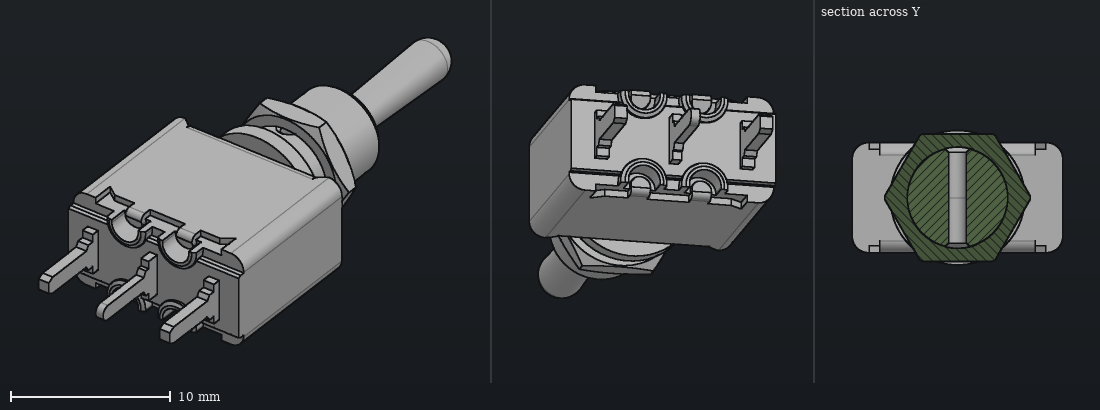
import cadquery as cq
import math


CASE_WIDTH = 13.2
COVER_HEIGHT = 6.9
COVER_LENGTH = 10.45
COVER_RADIUS = 1.02
CORE_HEIGHT = 4.73
CORE_LENGTH = 11.0
CORE_BEVEL_LENGTH = 0.22
CORE_BEVEL_HEIGHT = 0.1

PANEL_WIDTH = 9.75
PANEL_LENGTH = 9.5
PANEL_EDGE_RADIUS = 0.75
PANEL_CORNER_WIDTH = 0.8
PANEL_CORNER_LENGTH = 0.6
LEDGE_Z = 3.02

NOTCH_WIDTH = 0.65
NOTCH_LENGTH = 0.55

SOCKET_OFFSET_X = 1.95
SOCKET_CENTER_Z = 2.85
SOCKET_WALL_RADIUS = 1.5
SOCKET_BORE_RADIUS = 1.02
SOCKET_END = 11.3
SOCKET_FLOOR = 10.0
SOCKET_FLOOR_TILT = 20.0
SOCKET_BEVEL_WIDTH = 0.25
SOCKET_BEVEL_LENGTH = 0.15
TAB_RADIUS = 0.62
TAB_END = 10.45
TAB_EDGE_RADIUS = 0.45

PIN_OFFSET_X = 4.7
OUTER_PIN_THICKNESS = 0.8
CENTER_PIN_THICKNESS = 0.6
PIN_BASE_HALF = 1.5
PIN_STEP_HALF = 0.95
PIN_SLOPE_LENGTH = 0.22
OUTER_PIN_BASE_END = 11.55
OUTER_PIN_STEP_END = 12.0
OUTER_PIN_HALF = 0.62
OUTER_PIN_END = 16.23
OUTER_PIN_TIP_HALF = 0.4
OUTER_PIN_TIP_LENGTH = 0.45
CENTER_PIN_BASE_END = 11.9
CENTER_PIN_STEP_END = 12.2
CENTER_PIN_HALF = 0.55
CENTER_PIN_END = 16.75

FLANGE_RADIUS = 4.22
FLANGE_TOP = 1.1
BUSHING_RADIUS = 3.15
BUSHING_TOP = 9.1
BUSHING_CHAMFER_LENGTH = 0.45
BUSHING_CHAMFER_WIDTH = 0.33
LEVER_ROOT_RADIUS = 1.25
LEVER_TIP_RADIUS = 1.5
LEVER_TOP = 19.65
LEVER_DOME_HEIGHT = 1.45

CROSS_HOLE_Y = 3.42
CROSS_HOLE_RADIUS = 0.55
CROSS_HOLE_MOUTH_RADIUS = 0.87
CROSS_HOLE_SINK_DEPTH = 0.33

NUT_ACROSS_FLATS = 8.0
NUT_BOTTOM = 3.05
NUT_TOP = 4.62
NUT_FACE_RADIUS = 3.93
NUT_CHAMFER_ANGLE = 30.0

SIDES = (1, -1)


def end_plane(distance):
    """Sketch plane across the switch, `distance` toward the terminals; it extrudes toward -Y."""
    return cq.Workplane("XZ", origin=(0, -distance, 0))


def both_faces(shape):
    """A shape made for the +Z face, joined with its mirror image on the -Z face."""
    return shape.union(shape.mirror("XY"))


def make_cover():
    cover = end_plane(0).rect(CASE_WIDTH, COVER_HEIGHT).extrude(COVER_LENGTH)
    return cover.edges("|Y").fillet(COVER_RADIUS)


def make_core():
    half = CORE_HEIGHT / 2
    bevel_half = half - CORE_BEVEL_HEIGHT
    bevel_y = CORE_BEVEL_LENGTH - CORE_LENGTH
    profile = [
        (0, -half),
        (bevel_y, -half),
        (-CORE_LENGTH, -bevel_half),
        (-CORE_LENGTH, bevel_half),
        (bevel_y, half),
        (0, half),
    ]
    return cq.Workplane("YZ").polyline(profile).close().extrude(CASE_WIDTH / 2, both=True)


def panel_recess():
    """Space between the lower edge of the panel and the end of the cover."""
    half = PANEL_WIDTH / 2
    inner = half - PANEL_CORNER_WIDTH
    corner_y = PANEL_CORNER_LENGTH - PANEL_LENGTH
    outline = [
        (-half, -COVER_LENGTH),
        (-half, corner_y),
        (-inner, -PANEL_LENGTH),
        (inner, -PANEL_LENGTH),
        (half, corner_y),
        (half, -COVER_LENGTH),
    ]
    depth = COVER_HEIGHT / 2 - LEDGE_Z
    recess = cq.Workplane("XY", origin=(0, 0, LEDGE_Z)).polyline(outline).close().extrude(depth)
    return both_faces(recess)


def panel_edge_rounding():
    """Material outside the rounded edge of the panel, next to the flange."""
    top = COVER_HEIGHT / 2
    middle = PANEL_EDGE_RADIUS * (1 - math.sqrt(0.5))
    waste = (
        cq.Workplane("YZ")
        .moveTo(0, top)
        .lineTo(-PANEL_EDGE_RADIUS, top)
        .threePointArc((-middle, top - middle), (0, top - PANEL_EDGE_RADIUS))
        .close()
        .extrude(PANEL_WIDTH / 2, both=True)
    )
    return both_faces(waste)


def corner_notch(side):
    """Three-cornered notch down to the ledge height, just outside the panel edge."""
    inner_x = side * PANEL_WIDTH / 2
    outer_x = inner_x + side * NOTCH_WIDTH
    outline = [(inner_x, 0), (outer_x, 0), (inner_x, -NOTCH_LENGTH)]
    depth = COVER_HEIGHT / 2 - LEDGE_Z
    notch = cq.Workplane("XY", origin=(0, 0, LEDGE_Z)).polyline(outline).close().extrude(depth)
    return both_faces(notch)


def half_round(x, radius, top, start, end):
    """Bar along Y with a round underside at the socket centre and a flat top."""
    length = end - start
    return (
        end_plane(start)
        .moveTo(x - radius, top)
        .lineTo(x - radius, SOCKET_CENTER_Z)
        .threePointArc((x, SOCKET_CENTER_Z - radius), (x + radius, SOCKET_CENTER_Z))
        .lineTo(x + radius, top)
        .close()
        .extrude(length)
    )


def socket_wall(x):
    """Half-round socket body with a bevelled outer rim."""
    start = SOCKET_FLOOR - SOCKET_WALL_RADIUS
    rim_radius = SOCKET_WALL_RADIUS - SOCKET_BEVEL_WIDTH
    bevel_start = SOCKET_END - SOCKET_BEVEL_LENGTH
    wall = half_round(x, SOCKET_WALL_RADIUS, LEDGE_Z, start, bevel_start)
    rim = (
        end_plane(bevel_start)
        .center(x, SOCKET_CENTER_Z)
        .circle(SOCKET_WALL_RADIUS)
        .workplane(offset=SOCKET_BEVEL_LENGTH)
        .circle(rim_radius)
        .loft(ruled=True)
    )
    width = 2 * SOCKET_WALL_RADIUS
    above_ledge = (
        end_plane(bevel_start)
        .center(x, LEDGE_Z + SOCKET_WALL_RADIUS)
        .rect(width, width)
        .extrude(SOCKET_BEVEL_LENGTH)
    )
    return wall.union(rim.cut(above_ledge))


def trim_to_tilted_end(bar, top, end):
    """Keep the part of a bar behind a plane that leans toward +Y below `top`."""
    depth = SOCKET_WALL_RADIUS + top - SOCKET_CENTER_Z
    lean = depth * math.tan(math.radians(SOCKET_FLOOR_TILT))
    beyond = (
        cq.Workplane("YZ")
        .polyline([(-end, top), (lean - end, top - depth), (-2 * end, top - depth), (-2 * end, top)])
        .close()
        .extrude(CASE_WIDTH, both=True)
    )
    return bar.cut(beyond)


def socket_bore(x):
    """Round recess open at the mouth and the top, with a tilted floor."""
    start = SOCKET_FLOOR - SOCKET_BORE_RADIUS
    full = half_round(x, SOCKET_BORE_RADIUS, LEDGE_Z, start, SOCKET_END)
    return full.cut(trim_to_tilted_end(full, LEDGE_Z, SOCKET_FLOOR))


def latch_tab(x):
    """Tab of the panel that dips into a socket, with a rounded outer edge."""
    top = COVER_HEIGHT / 2
    start = PANEL_LENGTH - PANEL_CORNER_LENGTH
    shoulder = top - TAB_EDGE_RADIUS
    tab = half_round(x, TAB_RADIUS, top, start, TAB_END)
    middle = TAB_EDGE_RADIUS * (1 - math.sqrt(0.5))
    waste = (
        cq.Workplane("YZ")
        .moveTo(-TAB_END, top)
        .lineTo(TAB_EDGE_RADIUS - TAB_END, top)
        .threePointArc((middle - TAB_END, top - middle), (-TAB_END, shoulder))
        .close()
        .extrude(CASE_WIDTH, both=True)
    )
    return trim_to_tilted_end(tab.cut(waste), shoulder, TAB_END)


def make_case():
    case = make_cover().union(make_core()).cut(panel_recess()).cut(panel_edge_rounding())
    for side in SIDES:
        case = case.cut(corner_notch(side))
        x = side * SOCKET_OFFSET_X
        case = case.union(both_faces(socket_wall(x)))
        case = case.cut(both_faces(socket_bore(x)))
        case = case.union(both_faces(latch_tab(x)))
    return case


def make_pin(x, thickness, base_end, step_end, blade_half, tip):
    """Stepped flat pin; `tip` draws the end of the blade from its +Z to its -Z edge."""
    blade_start = step_end + PIN_SLOPE_LENGTH
    outline = (
        cq.Workplane("YZ", origin=(x, 0, 0))
        .moveTo(-COVER_LENGTH, PIN_BASE_HALF)
        .lineTo(-base_end, PIN_BASE_HALF)
        .lineTo(-base_end, PIN_STEP_HALF)
        .lineTo(-step_end, PIN_STEP_HALF)
        .lineTo(-blade_start, blade_half)
    )
    outline = (
        tip(outline)
        .lineTo(-blade_start, -blade_half)
        .lineTo(-step_end, -PIN_STEP_HALF)
        .lineTo(-base_end, -PIN_STEP_HALF)
        .lineTo(-base_end, -PIN_BASE_HALF)
        .lineTo(-COVER_LENGTH, -PIN_BASE_HALF)
        .close()
    )
    return outline.extrude(thickness / 2, both=True)


def tapered_tip(outline):
    taper_y = OUTER_PIN_TIP_LENGTH - OUTER_PIN_END
    return (
        outline.lineTo(taper_y, OUTER_PIN_HALF)
        .lineTo(-OUTER_PIN_END, OUTER_PIN_TIP_HALF)
        .lineTo(-OUTER_PIN_END, -OUTER_PIN_TIP_HALF)
        .lineTo(taper_y, -OUTER_PIN_HALF)
    )


def round_tip(outline):
    arc_y = CENTER_PIN_HALF - CENTER_PIN_END
    return outline.lineTo(arc_y, CENTER_PIN_HALF).threePointArc(
        (-CENTER_PIN_END, 0), (arc_y, -CENTER_PIN_HALF)
    )


def make_outer_pin(x):
    return make_pin(
        x, OUTER_PIN_THICKNESS, OUTER_PIN_BASE_END, OUTER_PIN_STEP_END, OUTER_PIN_HALF, tapered_tip
    )


def make_center_pin():
    return make_pin(
        0, CENTER_PIN_THICKNESS, CENTER_PIN_BASE_END, CENTER_PIN_STEP_END, CENTER_PIN_HALF, round_tip
    )


def make_pins():
    pins = make_center_pin()
    for side in SIDES:
        pins = pins.union(make_outer_pin(side * PIN_OFFSET_X))
    return pins


def make_turned_top():
    """Flange, bushing and lever as one revolved profile."""
    dome_base = LEVER_TOP - LEVER_DOME_HEIGHT
    dome_radius = (LEVER_TIP_RADIUS**2 + LEVER_DOME_HEIGHT**2) / (2 * LEVER_DOME_HEIGHT)
    dome_diagonal = dome_radius * math.sqrt(0.5)
    dome_middle = (dome_diagonal, LEVER_TOP - dome_radius + dome_diagonal)
    profile = (
        cq.Workplane("XY")
        .moveTo(0, 0)
        .lineTo(FLANGE_RADIUS, 0)
        .lineTo(FLANGE_RADIUS, FLANGE_TOP)
        .lineTo(BUSHING_RADIUS, FLANGE_TOP)
        .lineTo(BUSHING_RADIUS, BUSHING_TOP - BUSHING_CHAMFER_LENGTH)
        .lineTo(BUSHING_RADIUS - BUSHING_CHAMFER_WIDTH, BUSHING_TOP)
        .lineTo(LEVER_ROOT_RADIUS, BUSHING_TOP)
        .lineTo(LEVER_TIP_RADIUS, dome_base)
        .threePointArc(dome_middle, (0, LEVER_TOP))
        .close()
    )
    return profile.revolve(360, (0, 0, 0), (0, 1, 0))


def cross_hole():
    sink_z = BUSHING_RADIUS - CROSS_HOLE_SINK_DEPTH
    profile = [
        (0, 0),
        (CROSS_HOLE_RADIUS, 0),
        (CROSS_HOLE_RADIUS, sink_z),
        (CROSS_HOLE_MOUTH_RADIUS, BUSHING_RADIUS),
        (0, BUSHING_RADIUS),
    ]
    half_hole = (
        cq.Workplane("XZ", origin=(0, CROSS_HOLE_Y, 0))
        .polyline(profile)
        .close()
        .revolve(360, (0, 0, 0), (0, 1, 0))
    )
    return both_faces(half_hole)


def make_switch():
    turned_top = make_turned_top().cut(cross_hole())
    return make_case().union(make_pins()).union(turned_top)


def make_nut():
    """Hexagonal nut with two corners on the X axis, chamfered on both faces."""
    corner_radius = NUT_ACROSS_FLATS / math.sqrt(3)
    chamfer = (corner_radius - NUT_FACE_RADIUS) * math.tan(math.radians(NUT_CHAMFER_ANGLE))
    hexagon = (
        cq.Workplane("XZ", origin=(0, NUT_TOP, 0))
        .polygon(6, 2 * corner_radius)
        .circle(BUSHING_RADIUS)
        .extrude(NUT_TOP - NUT_BOTTOM)
    )
    envelope_profile = [
        (0, NUT_BOTTOM),
        (NUT_FACE_RADIUS, NUT_BOTTOM),
        (corner_radius, NUT_BOTTOM + chamfer),
        (corner_radius, NUT_TOP - chamfer),
        (NUT_FACE_RADIUS, NUT_TOP),
        (0, NUT_TOP),
    ]
    envelope = cq.Workplane("XY").polyline(envelope_profile).close().revolve(360, (0, 0, 0), (0, 1, 0))
    return hexagon.intersect(envelope)


switch = make_switch()
nut = make_nut()
result = cq.Compound.makeCompound([switch.val(), nut.val()])